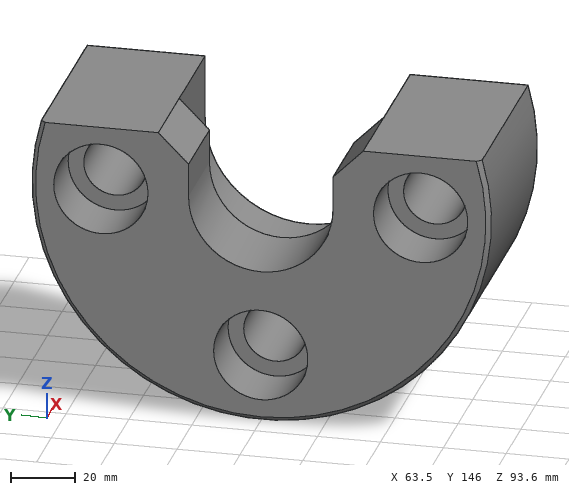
import cadquery as cq

outer_diameter = 146.0
thickness = 63.5
flat_height = 20.6
rim_chamfer = 1.5

narrow_slot_radius = 23.0
wide_slot_radius = 32.5
narrow_slot_length = 28.3
slot_chamfer = wide_slot_radius - narrow_slot_radius

bolt_circle_radius = 50.8
bolt_hole_diameter = 20.0
counterbore_diameter = 30.0
counterbore_depth = 19.5

outer_radius = outer_diameter / 2
bolt_centers = [
    (-bolt_circle_radius, 0),
    (0, -bolt_circle_radius),
    (bolt_circle_radius, 0),
]


def slot_cutter(radius, start, length):
    """Round-bottomed slot along X, open at the flat top."""
    return (
        cq.Workplane("YZ", origin=(start, 0, 0))
        .moveTo(-radius, flat_height)
        .lineTo(-radius, 0)
        .threePointArc((0, -radius), (radius, 0))
        .lineTo(radius, flat_height)
        .close()
        .extrude(length)
    )


def slot_lead_in():
    """45 degree bevels at the mouth of the narrow slot."""
    bevel_bottom = flat_height - slot_chamfer
    return (
        cq.Workplane("YZ")
        .moveTo(-wide_slot_radius, flat_height)
        .lineTo(-narrow_slot_radius, bevel_bottom)
        .lineTo(narrow_slot_radius, bevel_bottom)
        .lineTo(wide_slot_radius, flat_height)
        .close()
        .extrude(narrow_slot_length)
    )


def bolt_cutters(diameter, depth):
    """Round cutters at every bolt position, starting at the -X face."""
    return cq.Workplane("YZ").pushPoints(bolt_centers).circle(diameter / 2).extrude(depth)


disc = cq.Workplane("YZ").circle(outer_radius).extrude(thickness)
disc = disc.faces("<X").chamfer(rim_chamfer)
trim_height = outer_radius + flat_height
trim_box = cq.Workplane("XY", origin=(0, 0, -outer_radius)).box(
    thickness, outer_diameter, trim_height, centered=(False, True, False)
)
body = disc.intersect(trim_box)

body = body.cut(slot_cutter(narrow_slot_radius, 0, narrow_slot_length))
body = body.cut(slot_cutter(wide_slot_radius, narrow_slot_length, thickness - narrow_slot_length))
body = body.cut(slot_lead_in())

body = body.cut(bolt_cutters(bolt_hole_diameter, thickness))
body = body.cut(bolt_cutters(counterbore_diameter, counterbore_depth))

result = body